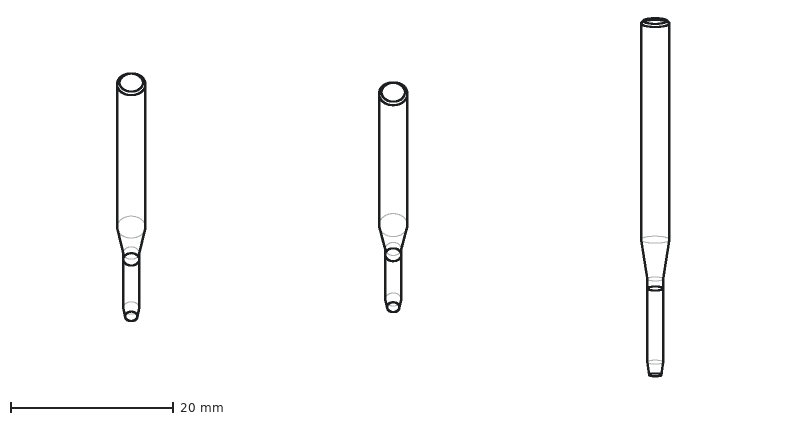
import cadquery as cq

total_length = 45.0
shank_diameter = 3.5
neck_diameter = 2.0
tip_end_diameter = 1.55

tip_taper_length = 1.6
tip_length = 11.0
neck_length = 1.2
shank_taper_length = 5.0
top_chamfer = 0.3

neck_top = tip_length + neck_length
shank_bottom = neck_top + shank_taper_length
shank_radius = shank_diameter / 2
neck_radius = neck_diameter / 2
tip_end_radius = tip_end_diameter / 2


def revolved_body(outline):
    """Turn an outline of (radius, height) points on the -Y side about the Z axis."""
    points = [(-radius, height) for radius, height in outline]
    return cq.Workplane("YZ").polyline(points).close().revolve(360, (0, 0), (0, 1))


def make_holder():
    """Chamfered shank that tapers down to a short cylindrical neck."""
    return revolved_body([
        (0, tip_length),
        (neck_radius, tip_length),
        (neck_radius, neck_top),
        (shank_radius, shank_bottom),
        (shank_radius, total_length - top_chamfer),
        (shank_radius - top_chamfer, total_length),
        (0, total_length),
    ])


def make_tip():
    """Cylindrical tip with a tapered free end, butted against the neck."""
    return revolved_body([
        (0, 0),
        (tip_end_radius, 0),
        (neck_radius, tip_taper_length),
        (neck_radius, tip_length),
        (0, tip_length),
    ])


holder = make_holder()
tip = make_tip()

result = cq.Compound.makeCompound([holder.val(), tip.val()])